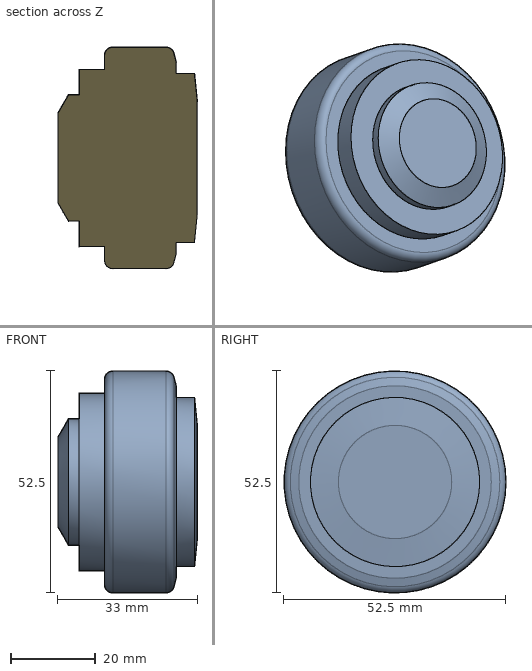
import cadquery as cq
import math

NOSE_CONE_END = 2.5
NOSE_END = 5.0
COLLAR_END = 11.0
RING_END = 28.0
HUB_LENGTH = 4.33
OVERALL_LENGTH = 33.0

NOSE_RADIUS = 30.0 / 2
COLLAR_RADIUS = 42.0 / 2
RING_RADIUS = 52.5 / 2
HUB_RADIUS = 40.0 / 2
HUB_FACE_RADIUS = 13.4

NOSE_CONE_ANGLE = math.radians(60)
CORNER_RADIUS = 2.0
RING_BEVEL_ANGLE = math.radians(15)
REAR_ROUND_START = 25.53

nose_face_radius = NOSE_RADIUS - NOSE_CONE_END * math.tan(NOSE_CONE_ANGLE)
hub_cone_start = RING_END + HUB_LENGTH
corner_center_radius = RING_RADIUS - CORNER_RADIUS


def corner_point(center_x, angle):
    """Point on a ring corner arc, with the angle measured from the +X direction."""
    return (
        center_x + CORNER_RADIUS * math.cos(angle),
        corner_center_radius + CORNER_RADIUS * math.sin(angle),
    )


front_arc_center = COLLAR_END + CORNER_RADIUS
front_arc_middle = corner_point(front_arc_center, math.radians(135))

rear_arc_middle = corner_point(REAR_ROUND_START, (math.radians(90) + RING_BEVEL_ANGLE) / 2)
rear_arc_end = corner_point(REAR_ROUND_START, RING_BEVEL_ANGLE)
bevel_depth = RING_END - rear_arc_end[0]
bevel_inner_radius = rear_arc_end[1] - bevel_depth / math.tan(RING_BEVEL_ANGLE)

half_section = (
    cq.Workplane("XY")
    .moveTo(0, 0)
    .lineTo(0, nose_face_radius)
    .lineTo(NOSE_CONE_END, NOSE_RADIUS)
    .lineTo(NOSE_END, NOSE_RADIUS)
    .lineTo(NOSE_END, COLLAR_RADIUS)
    .lineTo(COLLAR_END, COLLAR_RADIUS)
    .lineTo(COLLAR_END, corner_center_radius)
    .threePointArc(front_arc_middle, (front_arc_center, RING_RADIUS))
    .lineTo(REAR_ROUND_START, RING_RADIUS)
    .threePointArc(rear_arc_middle, rear_arc_end)
    .lineTo(RING_END, bevel_inner_radius)
    .lineTo(RING_END, HUB_RADIUS)
    .lineTo(hub_cone_start, HUB_RADIUS)
    .lineTo(OVERALL_LENGTH, HUB_FACE_RADIUS)
    .lineTo(OVERALL_LENGTH, 0)
    .close()
)

result = half_section.revolve(360, (0, 0, 0), (1, 0, 0))